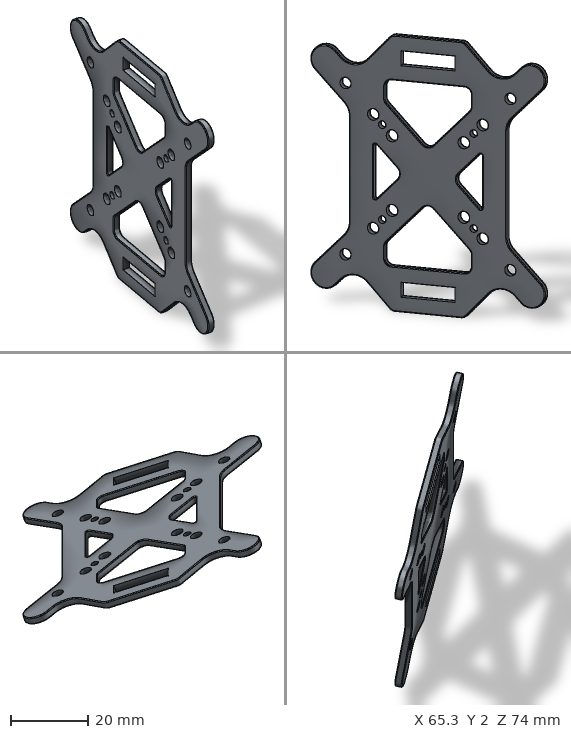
import cadquery as cq
import math

height = 74.0
width = 65.3
thickness = 2.0
edge_chamfer = 0.25

side_x = 21.9
top_half_width = 10.1
arm_radius = 4.0
notch_x = 20.5
side_fillet = 5.0
notch_fillet = 5.0
shoulder_fillet = 2.0

bar_offset = 7.0
vertex_fillet = 2.15
large_window_half_width = 12.05
large_window_top_z = 24.95
large_window_fillet = 2.0
side_window_x = 15.2
side_window_fillet = 0.5

slot_width = 15.0
slot_height = 4.0
slot_z = 31.0

diagonal_holes = [
    (22.95, 3.0),
    (15.25, 3.1),
    (12.7, 2.0),
    (10.0, 3.2),
]

top_z = height / 2
tip_centre = width / 2 - arm_radius
arm_length = 2 * (tip_centre * math.sqrt(2) + arm_radius)
arm_edge_rise = arm_radius * math.sqrt(2)
notch_z = notch_x + arm_edge_rise
waist_z = side_x - arm_edge_rise
shoulder_slope = (notch_z - top_z) / (notch_x - top_half_width)
body_corner_z = notch_z + shoulder_slope * (side_x - notch_x)
large_window_shoulder_z = bar_offset + large_window_half_width
side_window_half_height = side_window_x - bar_offset

pick_margin = 0.1


def back_face_plane():
    """Workplane on the +Y face of the plate; extruding runs toward -Y."""
    return cq.Workplane("XZ", origin=(0, thickness / 2, 0))


def mirrored(x, z):
    """The four mirror images of a point about both centre planes."""
    return [(x, z), (-x, z), (-x, -z), (x, -z)]


def fillet_at(body, points, radius):
    """Round the through-thickness edges that stand at the given (x, z) points."""
    edges = cq.Workplane()
    for x, z in points:
        near_point = cq.selectors.BoxSelector(
            (x - pick_margin, -thickness, z - pick_margin),
            (x + pick_margin, thickness, z + pick_margin),
        )
        edges = edges.add(body.edges(near_point))
    return body.newObject([body.val().fillet(radius, edges.vals())])


def make_outline():
    corners = [
        (top_half_width, top_z),
        (side_x, body_corner_z),
        (side_x, -body_corner_z),
        (top_half_width, -top_z),
        (-top_half_width, -top_z),
        (-side_x, -body_corner_z),
        (-side_x, body_corner_z),
        (-top_half_width, top_z),
    ]
    outline = back_face_plane().polyline(corners).close().extrude(thickness)
    for angle in (45, -45):
        arm_pair = back_face_plane().slot2D(arm_length, 2 * arm_radius, angle).extrude(thickness)
        outline = outline.union(arm_pair)
    outline = fillet_at(outline, mirrored(side_x, waist_z), side_fillet)
    outline = fillet_at(outline, mirrored(notch_x, notch_z), notch_fillet)
    return fillet_at(outline, mirrored(top_half_width, top_z), shoulder_fillet)


def make_window(vertex, outer_corners, corner_fillet):
    """Cutter for a window that points at the plate centre with its vertex."""
    window = back_face_plane().polyline([vertex] + outer_corners).close().extrude(thickness)
    window = fillet_at(window, [vertex], vertex_fillet)
    return fillet_at(window, outer_corners, corner_fillet)


def make_large_window():
    outer_corners = [
        (large_window_half_width, large_window_shoulder_z),
        (large_window_half_width, large_window_top_z),
        (-large_window_half_width, large_window_top_z),
        (-large_window_half_width, large_window_shoulder_z),
    ]
    return make_window((0, bar_offset), outer_corners, large_window_fillet)


def make_side_window():
    outer_corners = [
        (side_window_x, side_window_half_height),
        (side_window_x, -side_window_half_height),
    ]
    return make_window((bar_offset, 0), outer_corners, side_window_fillet)


plate = make_outline()

large_window = make_large_window()
side_window = make_side_window()
for window in (large_window, large_window.mirror("XY"), side_window, side_window.mirror("YZ")):
    plate = plate.cut(window)

plate = plate.faces("<Y or >Y").edges().chamfer(edge_chamfer)

for offset, diameter in diagonal_holes:
    holes = back_face_plane().pushPoints(mirrored(offset, offset)).circle(diameter / 2)
    plate = plate.cut(holes.extrude(thickness))

strap_slots = back_face_plane().pushPoints([(0, slot_z), (0, -slot_z)]).rect(slot_width, slot_height)
plate = plate.cut(strap_slots.extrude(thickness))

result = plate